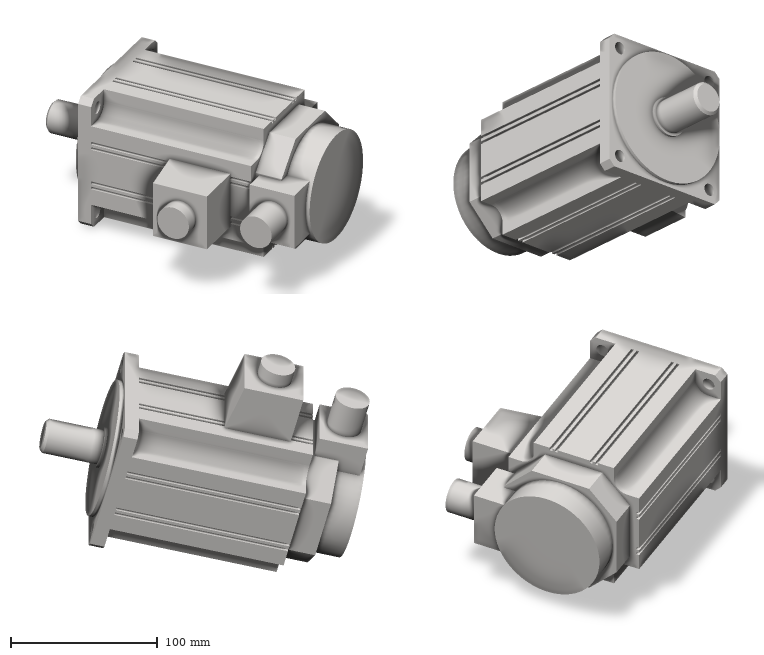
import cadquery as cq
import math

overall_length = 217.0
shaft_length = 40.0
collar_length = 2.0
pilot_length = 3.0
flange_thickness = 10.0
adapter_length = 20.0
encoder_length = 20.0

collar_start = shaft_length
pilot_start = collar_start + collar_length
flange_start = pilot_start + pilot_length
barrel_start = flange_start + flange_thickness
encoder_start = overall_length - encoder_length
adapter_start = encoder_start - adapter_length
barrel_length = adapter_start - barrel_start

shaft_diameter = 23.9
shaft_chamfer = 2.0
collar_diameter = 28.0

frame_width = 100.0
half_width = frame_width / 2
flange_corner_chamfer = 4.3
pilot_diameter = 95.0
bolt_circle_diameter = 115.0
bolt_hole_diameter = 9.0
bolt_spacing = bolt_circle_diameter / math.sqrt(2)

notch_radius = 10.0
notch_inner_edge = bolt_spacing / 2 - notch_radius
groove_width = 2.0
groove_depth = 2.0
groove_pair_pitch = 4.1
groove_pair_offset = 15.5

adapter_width = 86.0
adapter_corner_chamfer = 21.0
encoder_diameter = 80.3

connector_height = 41.2
plug_diameter = 24.0
power_base_start = 115.0
power_top_start = 120.2
power_end = 161.5
power_box_depth = 35.4
power_plug_length = 10.6
power_plug_x = 141.0
signal_box_length = 34.0
signal_plug_x = encoder_start
signal_box_reach = 57.5
signal_plug_length = 24.3


def section_at(x):
    """Workplane across the motor axis at x: local x is Y, local y is Z, normal is +X."""
    return cq.Workplane("YZ", origin=(x, 0, 0))


def disc(x, diameter, length):
    """Cylinder on the motor axis."""
    return section_at(x).circle(diameter / 2).extrude(length)


def chamfered_square(x, width, chamfer, length):
    """Square block on the motor axis with its four long edges chamfered."""
    return section_at(x).rect(width, width).extrude(length).edges("|X").chamfer(chamfer)


def plug(x, base_reach, length):
    """Round plug that points along -Y from a face base_reach away from the axis."""
    base = cq.Workplane("XZ", origin=(x, -base_reach, 0))
    return base.circle(plug_diameter / 2).extrude(length)


def make_shaft():
    tip = disc(0, shaft_diameter, shaft_length).faces("<X").chamfer(shaft_chamfer)
    return tip.union(disc(collar_start, collar_diameter, collar_length))


def make_flange():
    plate = chamfered_square(flange_start, frame_width, flange_corner_chamfer, flange_thickness)
    bolt_holes = (
        section_at(flange_start)
        .rect(bolt_spacing, bolt_spacing, forConstruction=True)
        .vertices()
        .circle(bolt_hole_diameter / 2)
        .extrude(flange_thickness)
    )
    return plate.cut(bolt_holes).union(disc(pilot_start, pilot_diameter, pilot_length))


def make_corner_notch():
    """Cutter for the +Y +Z corner, with its inner edge rounded about the bolt axis."""
    notch_width = half_width - notch_inner_edge
    notch_centre = notch_inner_edge + notch_width / 2
    block = (
        section_at(barrel_start)
        .center(notch_centre, notch_centre)
        .rect(notch_width, notch_width)
        .extrude(barrel_length)
    )
    return block.edges("|X and <Y and <Z").fillet(notch_radius)


def make_side_grooves():
    """Cutter for the two pairs of grooves in the +Z side."""
    groove_centres = [
        (side * groove_pair_offset + shift * groove_pair_pitch / 2, half_width - groove_depth / 2)
        for side in (-1, 1)
        for shift in (-1, 1)
    ]
    return (
        section_at(barrel_start)
        .pushPoints(groove_centres)
        .rect(groove_width, groove_depth)
        .extrude(barrel_length)
    )


def make_barrel():
    barrel = section_at(barrel_start).rect(frame_width, frame_width).extrude(barrel_length)
    for cutter in (make_corner_notch(), make_side_grooves()):
        for quarter_turn in range(4):
            barrel = barrel.cut(cutter.rotate((0, 0, 0), (1, 0, 0), 90 * quarter_turn))
    return barrel


def make_rear():
    adapter = chamfered_square(adapter_start, adapter_width, adapter_corner_chamfer, adapter_length)
    return adapter.union(disc(encoder_start, encoder_diameter, encoder_length))


def make_power_connector():
    """Box with a sloping front on the barrel side, carrying a short plug."""
    box_reach = half_width + power_box_depth
    box_root = half_width - groove_depth
    box = (
        cq.Workplane("XY", origin=(0, 0, -connector_height / 2))
        .moveTo(power_base_start, -box_root)
        .lineTo(power_base_start, -half_width)
        .lineTo(power_top_start, -box_reach)
        .lineTo(power_end, -box_reach)
        .lineTo(power_end, -box_root)
        .close()
        .extrude(connector_height)
    )
    return box.union(plug(power_plug_x, box_reach, power_plug_length))


def make_signal_connector():
    """Box that runs from the motor axis out through the adapter and encoder cover, with a long plug."""
    box = (
        cq.Workplane("XZ", origin=(signal_plug_x, 0, 0))
        .rect(signal_box_length, connector_height)
        .extrude(signal_box_reach)
    )
    return box.union(plug(signal_plug_x, signal_box_reach, signal_plug_length))


def make_housing():
    housing = make_flange().union(make_barrel()).union(make_rear())
    return housing.union(make_power_connector()).union(make_signal_connector())


shaft = make_shaft()
housing = make_housing()

result = cq.Compound.makeCompound([shaft.val(), housing.val()])